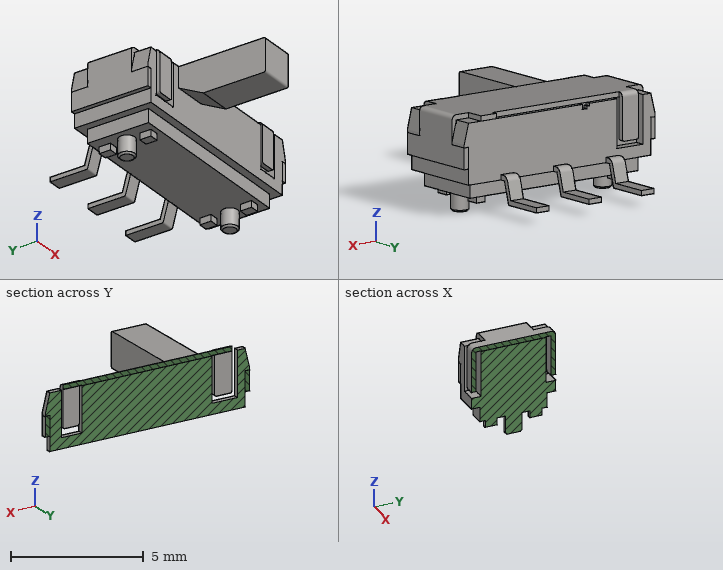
import cadquery as cq
import math


SHEET = 0.2
COVER_TOP = 3.21
HOUSING_TOP = COVER_TOP - SHEET
HOUSING_BOTTOM = 0.61
COVER_HALF_X = 4.554
HOUSING_HALF_X = COVER_HALF_X - SHEET
HOUSING_HALF_Y = 1.76
BASE_LENGTH = 8.01
BASE_WIDTH = 2.81

CORNER_X = 3.76
CORNER_Y = 1.01
EAR_BOTTOM = 2.08
EAR_SLOPE_BOTTOM = 2.19
END_WALL_BOTTOM = 1.23

LEFT_TAB_INNER_X = 2.99
RIGHT_TAB_INNER_X = 3.03
LEFT_TAB_BOTTOM = 1.32
RIGHT_TAB_BOTTOM = 1.41
TAB_CORNER_RADIUS = 0.1

POCKET_DEPTH = 0.4
POCKET_BOTTOM = 1.09
FRONT_LEFT_POCKET = (-4.0, -2.87)
FRONT_RIGHT_POCKET = (2.93, 3.82)
BACK_LEFT_POCKET = (-3.97, -2.74)

NOTCH_LEFT_X = -1.42
NOTCH_STEP_X = -1.31
NOTCH_RIGHT_X = -1.09
NOTCH_STEP_DEPTH = 0.1

LEVER_LEFT_X = -2.51
LEVER_WIDTH = 1.5
LEVER_TIP_Y = -5.75
LEVER_BOTTOM = 1.5
LEVER_SLOPE_END_Y = -2.88
LEVER_TIP_RADIUS = 0.1

TERMINAL_PITCH = 2.5
TERMINAL_WIDTH = 0.61
TERMINAL_TIP_Y = 3.95
TERMINAL_BEND_Y = 1.9
TERMINAL_LEG_TOP_Y = 2.17
TERMINAL_LEG_BOTTOM_Y = 2.37
TERMINAL_LEG_THICKNESS = 0.19
TERMINAL_HEEL_RADIUS = 0.08
FOOT_BOTTOM = -0.29

POST_X = 3.4
POST_DIAMETER = 0.71
POST_BOTTOM = -0.79
POST_CHAMFER = 0.08
FOOT_X = 3.33
FOOT_Y = 0.93
FOOT_LENGTH = 0.41
FOOT_WIDTH = 0.51


def block(x_range, y_range, z_range):
    """Box between the given limits on each axis."""
    (x0, x1), (y0, y1), (z0, z1) = x_range, y_range, z_range
    return cq.Workplane("XY").box(x1 - x0, y1 - y0, z1 - z0, centered=False).translate((x0, y0, z0))


def make_shell():
    """Main block with a sloped ear at each corner, on a narrower base."""
    main = block((-HOUSING_HALF_X, HOUSING_HALF_X), (-HOUSING_HALF_Y, HOUSING_HALF_Y),
                 (HOUSING_BOTTOM, HOUSING_TOP))
    base = block((-BASE_LENGTH / 2, BASE_LENGTH / 2), (-BASE_WIDTH / 2, BASE_WIDTH / 2),
                 (0, HOUSING_BOTTOM))
    ears = (
        cq.Workplane("XZ", origin=(0, HOUSING_HALF_Y, 0))
        .polyline([
            (-HOUSING_HALF_X, HOUSING_TOP),
            (HOUSING_HALF_X, HOUSING_TOP),
            (COVER_HALF_X, EAR_SLOPE_BOTTOM),
            (COVER_HALF_X, EAR_BOTTOM),
            (-COVER_HALF_X, EAR_BOTTOM),
            (-COVER_HALF_X, EAR_SLOPE_BOTTOM),
        ])
        .close()
        .extrude(HOUSING_HALF_Y - CORNER_Y)
    )
    return main.union(base).union(ears).union(ears.mirror("XZ"))


def make_tab_pockets():
    """Open-topped recesses that leave room around and behind the clip tabs."""
    front = (-HOUSING_HALF_Y, -HOUSING_HALF_Y + POCKET_DEPTH)
    back = (HOUSING_HALF_Y - POCKET_DEPTH, HOUSING_HALF_Y)
    height = (POCKET_BOTTOM, HOUSING_TOP)
    pockets = block(FRONT_LEFT_POCKET, front, height)
    pockets = pockets.union(block(FRONT_RIGHT_POCKET, front, height))
    return pockets.union(block(BACK_LEFT_POCKET, back, height))


def make_back_notch():
    """Two-step notch in the ledge along the back."""
    y_range = (HOUSING_HALF_Y - SHEET, HOUSING_HALF_Y)
    shallow = block((NOTCH_LEFT_X, NOTCH_RIGHT_X), y_range, (HOUSING_TOP - NOTCH_STEP_DEPTH, HOUSING_TOP))
    deep = block((NOTCH_STEP_X, NOTCH_RIGHT_X), y_range, (HOUSING_TOP - 2 * NOTCH_STEP_DEPTH, HOUSING_TOP))
    return shallow.union(deep)


def make_lever():
    """Square lever with a sloped root and rounded tip edges."""
    lever = (
        cq.Workplane("YZ", origin=(LEVER_LEFT_X, 0, 0))
        .polyline([
            (-HOUSING_HALF_Y, HOUSING_TOP),
            (LEVER_TIP_Y, HOUSING_TOP),
            (LEVER_TIP_Y, LEVER_BOTTOM),
            (LEVER_SLOPE_END_Y, LEVER_BOTTOM),
            (-HOUSING_HALF_Y, EAR_BOTTOM),
        ])
        .close()
        .extrude(LEVER_WIDTH)
    )
    return lever.faces("<Y").edges("|X").fillet(LEVER_TIP_RADIUS)


def make_terminal(x):
    """Gull-wing terminal: level root, rounded bend, leaning leg and flat foot."""
    foot_top = FOOT_BOTTOM + SHEET
    leg_lean = (TERMINAL_LEG_BOTTOM_Y - TERMINAL_LEG_TOP_Y) / (HOUSING_BOTTOM - foot_top)
    heel_y = TERMINAL_LEG_BOTTOM_Y - TERMINAL_LEG_THICKNESS + leg_lean * SHEET
    terminal = (
        cq.Workplane("YZ", origin=(x - TERMINAL_WIDTH / 2, 0, 0))
        .moveTo(HOUSING_HALF_Y, HOUSING_BOTTOM)
        .lineTo(HOUSING_HALF_Y, HOUSING_BOTTOM + SHEET)
        .lineTo(TERMINAL_BEND_Y, HOUSING_BOTTOM + SHEET)
        .tangentArcPoint((TERMINAL_LEG_TOP_Y, HOUSING_BOTTOM), relative=False)
        .lineTo(TERMINAL_LEG_BOTTOM_Y, foot_top)
        .lineTo(TERMINAL_TIP_Y, foot_top)
        .lineTo(TERMINAL_TIP_Y, FOOT_BOTTOM)
        .lineTo(heel_y, FOOT_BOTTOM)
        .lineTo(TERMINAL_LEG_TOP_Y - TERMINAL_LEG_THICKNESS, HOUSING_BOTTOM)
        .close()
        .extrude(TERMINAL_WIDTH)
    )
    return terminal.faces("<Z").edges("<Y").fillet(TERMINAL_HEEL_RADIUS)


def make_post(x):
    """Round locating post with a chamfered end."""
    post = cq.Workplane("XY").center(x, 0).circle(POST_DIAMETER / 2).extrude(POST_BOTTOM)
    return post.faces("<Z").chamfer(POST_CHAMFER)


def make_feet():
    """Four standoff feet under the base."""
    return (
        cq.Workplane("XY")
        .rect(2 * FOOT_X, 2 * FOOT_Y, forConstruction=True)
        .vertices()
        .rect(FOOT_LENGTH, FOOT_WIDTH)
        .extrude(FOOT_BOTTOM)
    )


def make_housing():
    """Housing with everything moulded into it."""
    body = make_shell().cut(make_tab_pockets()).cut(make_back_notch())
    body = body.union(make_lever()).union(make_feet())
    for side in (-1, 0, 1):
        body = body.union(make_terminal(side * TERMINAL_PITCH))
    for side in (-1, 1):
        body = body.union(make_post(side * POST_X))
    return body


def bent_wall(plane, reach, bottom, width):
    """Sheet that runs out from the middle, bends round and drops to `bottom`.

    The first axis of `plane` points outward; the wall is centred on its normal.
    """
    inner = reach - SHEET
    mid_arc = SHEET * math.sqrt(0.5)
    return (
        cq.Workplane(plane)
        .moveTo(0, COVER_TOP)
        .lineTo(inner, COVER_TOP)
        .threePointArc((inner + mid_arc, HOUSING_TOP + mid_arc), (reach, HOUSING_TOP))
        .lineTo(reach, bottom)
        .lineTo(inner, bottom)
        .lineTo(inner, HOUSING_TOP)
        .lineTo(0, HOUSING_TOP)
        .close()
        .extrude(width / 2, both=True)
    )


def make_end_wall(side):
    """End wall: bent down between the ears, full width below them."""
    plane = cq.Plane(origin=(0, 0, 0), xDir=(side, 0, 0), normal=(0, -side, 0))
    upper = bent_wall(plane, COVER_HALF_X, END_WALL_BOTTOM, 2 * CORNER_Y)
    x_range = sorted((side * HOUSING_HALF_X, side * COVER_HALF_X))
    lower = block(x_range, (-HOUSING_HALF_Y, HOUSING_HALF_Y), (END_WALL_BOTTOM, EAR_BOTTOM))
    return upper.union(lower)


def make_tab(x_side, y_side, inner_x, bottom):
    """Clip tab bent down over the front (-1) or back (+1) edge."""
    center_x = x_side * (CORNER_X + inner_x) / 2
    plane = cq.Plane(origin=(center_x, 0, 0), xDir=(0, y_side, 0), normal=(y_side, 0, 0))
    tab = bent_wall(plane, HOUSING_HALF_Y, bottom, CORNER_X - inner_x)
    return tab.faces("<Z").edges("|Y").fillet(TAB_CORNER_RADIUS)


def make_cover():
    """Sheet cover: top plate, end walls, three bent tabs and one flat tab."""
    plate_half_y = HOUSING_HALF_Y - SHEET
    plate_z = (HOUSING_TOP, COVER_TOP)
    cover = block((-CORNER_X, CORNER_X), (-plate_half_y, plate_half_y), plate_z)
    flat_tab = block((RIGHT_TAB_INNER_X, CORNER_X), (0, HOUSING_HALF_Y), plate_z)
    cover = cover.union(flat_tab)
    for side in (-1, 1):
        cover = cover.union(make_end_wall(side))
    for y_side in (-1, 1):
        cover = cover.union(make_tab(-1, y_side, LEFT_TAB_INNER_X, LEFT_TAB_BOTTOM))
    return cover.union(make_tab(1, -1, RIGHT_TAB_INNER_X, RIGHT_TAB_BOTTOM))


housing = make_housing()
cover = make_cover()

result = cq.Compound.makeCompound([housing.val(), cover.val()])